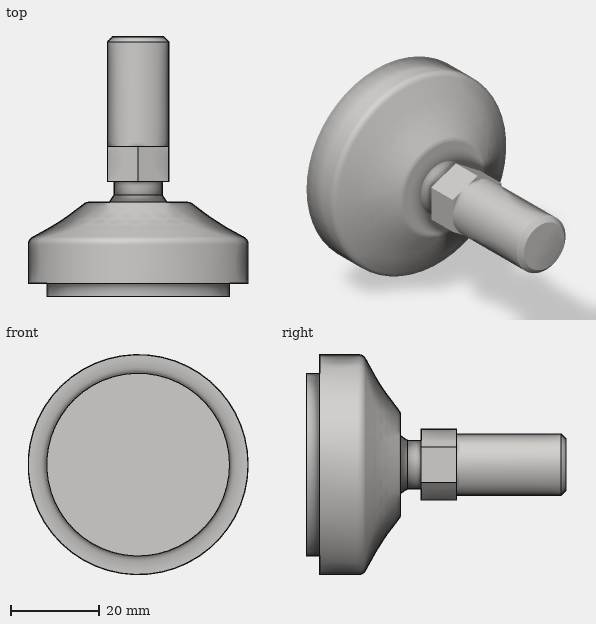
import cadquery as cq
import math

pad_diameter = 41.5
pad_height = 3.0
base_diameter = 50.0
rim_top = 11.8
shoulder_radius = 1.9
dome_top = 21.4
dome_edge_radius = 12.3
top_rounding = 1.6
top_edge_slope = math.radians(40)
flare_radius = 64.9
neck_diameter = 11.0
collar_diameter = 13.1
collar_top = 23.0
nut_bottom = 26.1
nut_height = 8.0
nut_across_flats = 14.0
stud_diameter = 14.0
stud_end = 59.0
stud_chamfer = 1.2

base_radius = base_diameter / 2
neck_radius = neck_diameter / 2
nut_top = nut_bottom + nut_height

shoulder_turn = math.radians(60)
shoulder_center = base_radius - shoulder_radius


def shoulder_point(angle):
    """Point on the shoulder rounding, as (radius, height)."""
    return (
        shoulder_center + shoulder_radius * math.cos(angle),
        rim_top + shoulder_radius * math.sin(angle),
    )


def top_edge_point(slope):
    """Point on the rounded top edge of the dome where it falls at the given slope."""
    return (
        dome_edge_radius + top_rounding * (math.sin(slope) - math.sin(top_edge_slope)),
        dome_top - top_rounding * (1 - math.cos(slope)),
    )


def arc_middle(start, end, radius):
    """Middle of a shallow arc from start to end that sags towards the axis."""
    dx = end[0] - start[0]
    dy = end[1] - start[1]
    chord = math.hypot(dx, dy)
    sag = radius - math.sqrt(radius**2 - (chord / 2) ** 2)
    return (
        (start[0] + end[0]) / 2 - sag * dy / chord,
        (start[1] + end[1]) / 2 + sag * dx / chord,
    )


shoulder_end = shoulder_point(shoulder_turn)
dome_edge = top_edge_point(top_edge_slope)
turned_body = (
    cq.Workplane("XY")
    .lineTo(pad_diameter / 2, 0)
    .lineTo(pad_diameter / 2, pad_height)
    .lineTo(base_radius, pad_height)
    .lineTo(base_radius, rim_top)
    .threePointArc(shoulder_point(shoulder_turn / 2), shoulder_end)
    .threePointArc(arc_middle(shoulder_end, dome_edge, flare_radius), dome_edge)
    .threePointArc(top_edge_point(top_edge_slope / 2), top_edge_point(0))
    .lineTo(collar_diameter / 2, dome_top)
    .lineTo(neck_radius, collar_top)
    .lineTo(neck_radius, nut_bottom)
    .lineTo(0, nut_bottom)
    .close()
    .revolve(360, (0, 0), (0, 1))
)

nut = (
    cq.Workplane("ZX", origin=(0, nut_bottom, 0))
    .polygon(6, nut_across_flats / math.cos(math.pi / 6))
    .extrude(nut_height)
)

stud = (
    cq.Workplane("ZX", origin=(0, nut_top, 0))
    .circle(stud_diameter / 2)
    .extrude(stud_end - nut_top)
    .faces(">Y")
    .chamfer(stud_chamfer)
)

result = turned_body.union(nut).union(stud)